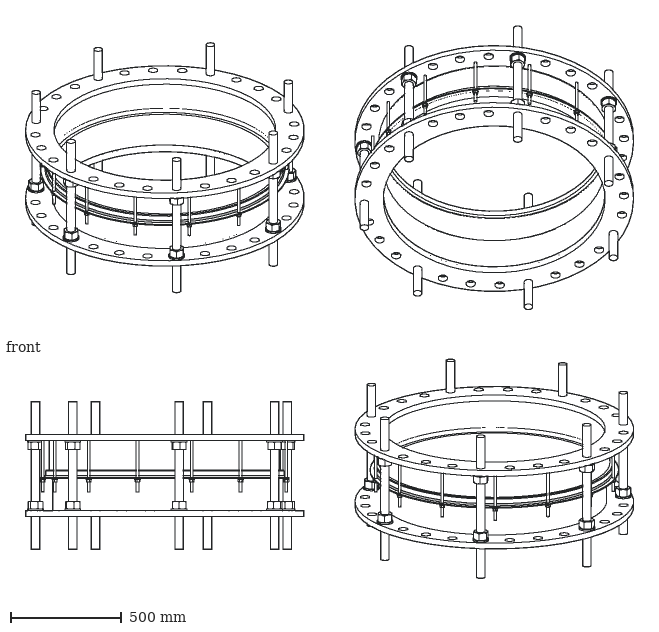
import cadquery as cq
import math

flange_diameter = 1255.0
flange_bore = 999.0
flange_thickness = 28.0
flange_span = 370.0
flange_inner_z = flange_span / 2 - flange_thickness
bolt_circle_radius = 585.0
bolt_hole_count = 28
bolt_hole_diameter = 41.0
bolt_pitch = 360 / bolt_hole_count

pipe_diameter = 1012.0
pipe_bore = 996.0
pipe_relief_height = 8.0
pipe_top_z = 6.0

sleeve_diameter = 1042.0
sleeve_bore = 1032.0
collar_diameter = 1074.0
collar_top_z = 25.0
collar_bottom_z = 0.0
collar_chamfer = 4.0

gland_diameter = 1120.0
gland_top_z = -9.0
gland_thickness = 5.0
gland_bottom_z = gland_top_z - gland_thickness

seal_diameter = 1082.0
seal_rounding = 3.0

nut_bevel_angle = math.radians(30)

rod_count = 7
rod_step = 360 / rod_count
holes_per_rod = bolt_hole_count // rod_count
first_rod_angle = -90 + bolt_pitch / 2
rod_diameter = 39.0
rod_length = 665.0
rod_washer_diameter = 72.0
rod_washer_thickness = 6.0
rod_nut_flats = 60.0
rod_nut_height = 35.0

stud_count = 14
stud_circle_radius = 548.0
stud_diameter = 11.9
stud_bottom_z = -74.0
stud_washer_diameter = 25.0
stud_washer_thickness = 4.0
stud_nut_flats = 19.0
stud_nut_height = 11.0


def cylinder(diameter, bottom_z, top_z):
    """Solid cylinder on the Z axis between two heights."""
    return cq.Workplane("XY").workplane(offset=bottom_z).circle(diameter / 2).extrude(top_z - bottom_z)


def tube(outer_diameter, bore, bottom_z, top_z):
    """Hollow cylinder on the Z axis between two heights."""
    return cylinder(outer_diameter, bottom_z, top_z).cut(cylinder(bore, bottom_z, top_z))


def hex_nut(across_flats, bottom_z, top_z):
    """Hexagonal nut on the Z axis with a corner toward +X and both ends bevelled at the corners."""
    across_corners = across_flats / math.cos(math.pi / 6)
    bevel_width = (across_corners - across_flats) / 2
    bevel_height = bevel_width * math.tan(nut_bevel_angle)
    prism = (
        cq.Workplane("XY")
        .workplane(offset=bottom_z)
        .polygon(6, across_corners)
        .extrude(top_z - bottom_z)
    )
    bevelled_blank = (
        cq.Workplane("XZ")
        .moveTo(0, bottom_z)
        .lineTo(across_flats / 2, bottom_z)
        .lineTo(across_corners / 2, bottom_z + bevel_height)
        .lineTo(across_corners / 2, top_z - bevel_height)
        .lineTo(across_flats / 2, top_z)
        .lineTo(0, top_z)
        .close()
        .revolve()
    )
    return prism.intersect(bevelled_blank)


def place(shape, radius, angle):
    """Move a shape from the Z axis out to a radius, then turn it to an angle."""
    return shape.translate((radius, 0, 0)).rotate((0, 0, 0), (0, 0, 1), angle)


def make_flange():
    """Flange plate with its lower face on Z = 0, drilled where no tie rod fills the bolt hole."""
    holes = [
        place(cylinder(bolt_hole_diameter, 0, flange_thickness), bolt_circle_radius,
              first_rod_angle + index * bolt_pitch)
        for index in range(bolt_hole_count)
        if index % holes_per_rod != 0
    ]
    plate = tube(flange_diameter, flange_bore, 0, flange_thickness)
    for hole in holes:
        plate = plate.cut(hole)
    return plate


def make_shell():
    """Flanges, pipe, sleeve, collar and gland ring."""
    flange = make_flange()
    relief_top_z = -flange_inner_z + pipe_relief_height
    pipe = tube(pipe_diameter, pipe_bore, -flange_inner_z, pipe_top_z)
    pipe = pipe.cut(cylinder(flange_bore, -flange_inner_z, relief_top_z))
    sleeve = tube(sleeve_diameter, sleeve_bore, collar_bottom_z, flange_inner_z)
    collar = cylinder(collar_diameter, collar_bottom_z, collar_top_z).faces(">Z").chamfer(collar_chamfer)
    seal = cylinder(seal_diameter, gland_top_z, collar_bottom_z).faces(">Z").edges().fillet(seal_rounding)
    packing = tube(sleeve_bore, pipe_bore, gland_top_z, pipe_top_z)
    sleeve_end = (
        collar.union(seal)
        .cut(cylinder(sleeve_bore, gland_top_z, collar_top_z))
        .union(packing)
    )
    gland = tube(gland_diameter, pipe_diameter, gland_bottom_z, gland_top_z)
    return (
        flange.translate((0, 0, flange_inner_z))
        .union(flange.translate((0, 0, -flange_inner_z - flange_thickness)))
        .union(pipe)
        .union(sleeve)
        .union(sleeve_end)
        .union(gland)
    )


def make_tie_rod():
    """Threaded rod with a washer and nut against the inner face of each flange."""
    nut_base_z = flange_inner_z - rod_washer_thickness
    nut_end_z = nut_base_z - rod_nut_height
    upper_nut = hex_nut(rod_nut_flats, nut_end_z, nut_base_z)
    lower_nut = hex_nut(rod_nut_flats, -nut_base_z, -nut_end_z)
    lower_nut = lower_nut.rotate((0, 0, 0), (0, 0, 1), -bolt_pitch / 2)
    return (
        cylinder(rod_diameter, -rod_length / 2, rod_length / 2)
        .union(cylinder(rod_washer_diameter, nut_base_z, flange_inner_z))
        .union(cylinder(rod_washer_diameter, -flange_inner_z, -nut_base_z))
        .union(upper_nut)
        .union(lower_nut)
    )


def make_stud():
    """Gland stud hanging from the upper flange, with its washer and nut."""
    nut_top_z = gland_bottom_z - stud_washer_thickness
    return (
        cylinder(stud_diameter, stud_bottom_z, flange_inner_z)
        .union(cylinder(stud_washer_diameter, nut_top_z, gland_bottom_z))
        .union(hex_nut(stud_nut_flats, nut_top_z - stud_nut_height, nut_top_z))
    )


result = make_shell()

tie_rod = make_tie_rod()
for index in range(rod_count):
    result = result.union(place(tie_rod, bolt_circle_radius, first_rod_angle + index * rod_step))

stud = make_stud()
for index in range(stud_count):
    result = result.union(place(stud, stud_circle_radius, index * 360 / stud_count))